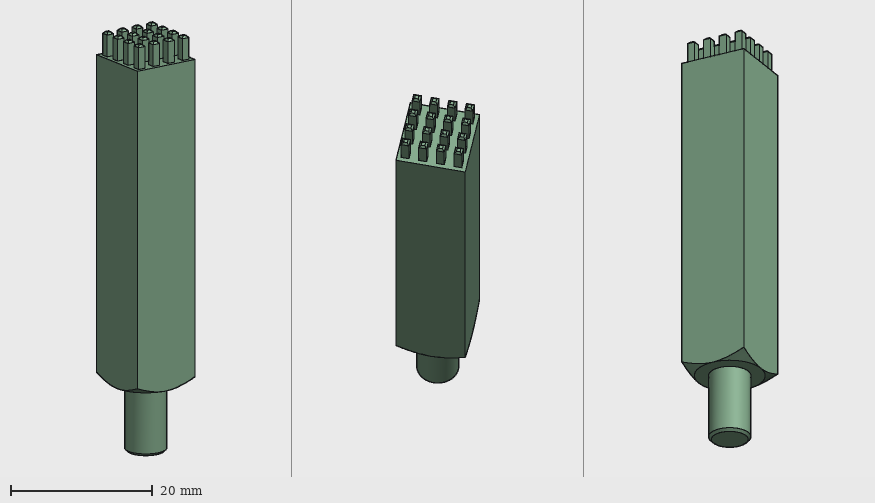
import cadquery as cq
import math

BODY_WIDTH = 10.0
BODY_LENGTH = 48.0

SHANK_DIAMETER = 6.0
SHANK_LENGTH = 10.0
SHANK_CHAMFER = 0.4

CONE_ANGLE = 30.0
CONE_SMALL_RADIUS = BODY_WIDTH / 2

PIN_COUNT = 4
PIN_PITCH = 2.54
PIN_WIDTH = 1.13
PIN_LENGTH = 3.5
PIN_CHAMFER = 0.3


def make_body():
    """Square bar, bottom at Z = 0, with its lower corners turned to a cone."""
    bar = cq.Workplane("XY").rect(BODY_WIDTH, BODY_WIDTH).extrude(BODY_LENGTH)
    outer_radius = BODY_WIDTH
    cone_height = (outer_radius - CONE_SMALL_RADIUS) * math.tan(math.radians(CONE_ANGLE))
    turned_envelope = (
        cq.Workplane("XZ")
        .moveTo(0, 0)
        .lineTo(CONE_SMALL_RADIUS, 0)
        .lineTo(outer_radius, cone_height)
        .lineTo(outer_radius, BODY_LENGTH)
        .lineTo(0, BODY_LENGTH)
        .close()
        .revolve(360, (0, 0), (0, 1))
    )
    return bar.intersect(turned_envelope)


def make_shank():
    """Round shank hanging below the body, chamfered at its free end."""
    shank = cq.Workplane("XY").circle(SHANK_DIAMETER / 2).extrude(-SHANK_LENGTH)
    return shank.faces("<Z").chamfer(SHANK_CHAMFER)


def make_pins():
    """Square grid of pins with chamfered tips, standing on the body."""
    return (
        cq.Workplane("XY", origin=(0, 0, BODY_LENGTH))
        .rarray(PIN_PITCH, PIN_PITCH, PIN_COUNT, PIN_COUNT)
        .rect(PIN_WIDTH, PIN_WIDTH)
        .extrude(PIN_LENGTH)
        .faces(">Z")
        .chamfer(PIN_CHAMFER)
    )


result = make_body().union(make_shank()).union(make_pins())